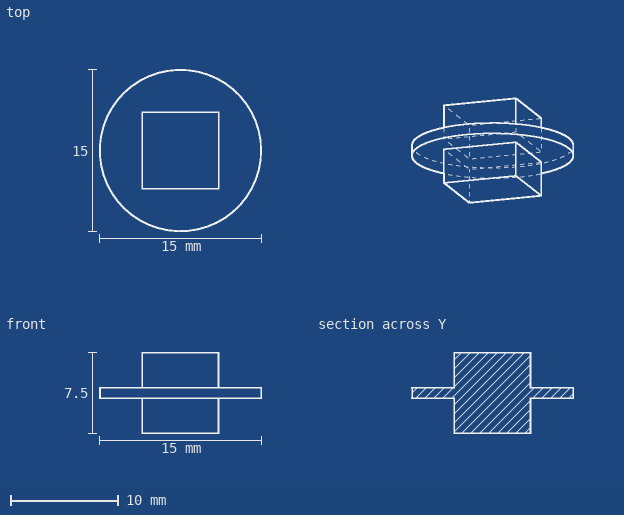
import cadquery as cq

disc_diameter = 15.0
disc_thickness = 1.0
block_side = 7.1
block_height = disc_diameter / 2

block = cq.Workplane("XY").box(block_side, block_side, block_height)

disc = cq.Workplane("XY").cylinder(disc_thickness, disc_diameter / 2)

result = block.union(disc)